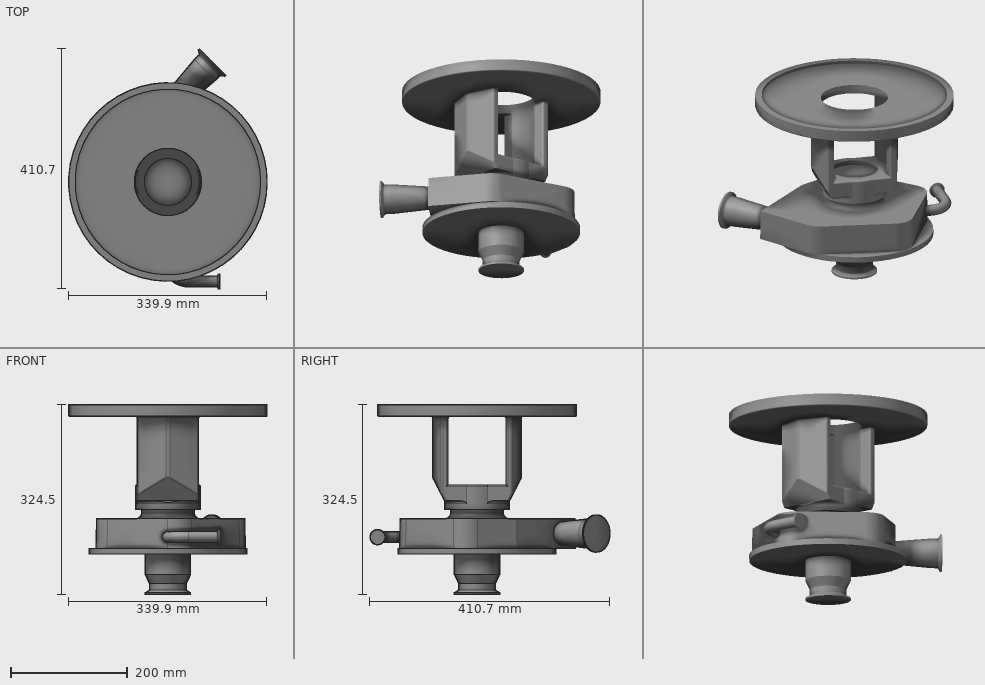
import cadquery as cq
import math

MERGE = 2.0
FERRULE_LIP = 1.0

plate_radius = 169.95
plate_top = 324.5
plate_thickness = 20.0
plate_bottom = plate_top - plate_thickness
plate_edge_fillet = 2.0
dish_radius = 158.5
dish_depth = 5.0

yoke_half_width = 52.5
yoke_nose_y = 76.0
yoke_nose_half_width = 3.3
yoke_shoulder_y = 61.0
yoke_taper_z = 199.8
yoke_foot_y = 56.0
yoke_foot_z = 160.5
yoke_edge_fillet = 3.3
yoke_bore_radius = 57.5
window_half_width = 49.5
window_floor = 187.5
window_fillet = 3.3
collar_radius = 55.5
collar_bottom = 145.5
collar_flare = 5.5
plate_joint_fillet = 3.0
shaft_recess_radius = 40.3
shaft_recess_depth = 8.2

housing_bottom = 78.5
housing_top = 129.5
housing_draft = 1.0
housing_corner_radius = 35.0
side_distance = 115.0
outlet_flank_distance = 139.7
side_step = 72
first_side_angle = 27
outlet_angle = 45
outlet_flank_angle = 126
neck_radius = 45.2
neck_flare = 10.0
disc_radius = 135.0
disc_thickness = 10.0
disc_bottom = housing_bottom - disc_thickness

spout_radius = 39.0
spout_taper_top = 34.0
spout_taper_bottom = 18.5
spout_end_radius = 31.5
ferrule_rim = 3.0
ferrule_cone = 4.0
ferrule_neck_fillet = 1.5

outlet_offset = 91.0
outlet_z = 104.0
outlet_length = 199.0
outlet_straight_start = 180.5
outlet_radius = 25.5
outlet_flange_radius = 32.0
outlet_root_radius = 19.7

drain_radius = 9.5
drain_z = 98.0
drain_y = -170.0
drain_bend_radius = 35.0
drain_end_x = 88.8
drain_flange_radius = 13.0
drain_rim = 3.0
drain_cone = 1.2
drain_neck_fillet = 1.0
drain_root_y = -side_distance


def turned(profile):
    """Revolve an outline of (radius, height) points about the Z axis."""
    return cq.Workplane("XZ").polyline(profile).close().revolve(360, (0, 0, 0), (0, 1, 0))


def ferrule(pipe_radius, flange_radius, rim, cone, neck_fillet, length, plane=cq.Plane.XY()):
    """Pipe end with a clamp flange, its outer face in the given plane, the pipe along the normal."""
    profile = [
        (0, length),
        (pipe_radius, length),
        (pipe_radius, rim + cone),
        (flange_radius - FERRULE_LIP, rim),
        (flange_radius, rim),
        (flange_radius, 0),
        (0, 0),
    ]
    solid = turned(profile)
    neck = cq.selectors.NearestToPointSelector((0, 0, rim + cone))
    solid = solid.edges(neck).fillet(neck_fillet)
    return cq.Workplane(solid.val().moved(cq.Location(plane)))


def flare(radius, size, face_z, up):
    """Concave quarter-round ring that blends a round column into a flat face."""
    mid = size * (1 - math.sqrt(0.5))
    return (
        cq.Workplane("XZ")
        .moveTo(0, face_z)
        .lineTo(radius + size, face_z)
        .threePointArc((radius + mid, face_z + up * mid), (radius, face_z + up * size))
        .lineTo(0, face_z + up * size)
        .close()
        .revolve(360, (0, 0, 0), (0, 1, 0))
    )


def disc(radius, bottom, top):
    return cq.Workplane("XY").workplane(offset=bottom).circle(radius).extrude(top - bottom)


def corner(side_a, side_b):
    """Point where two sides, each given as (normal angle, distance from the axis), cross."""
    a, b = math.radians(side_a[0]), math.radians(side_b[0])
    det = math.sin(b - a)
    x = (side_a[1] * math.sin(b) - side_b[1] * math.sin(a)) / det
    y = (side_b[1] * math.cos(a) - side_a[1] * math.cos(b)) / det
    return (x, y)


def make_plate():
    plate = disc(plate_radius, plate_bottom, plate_top).faces("<Z").edges().fillet(plate_edge_fillet)
    return plate.cut(disc(dish_radius, plate_top - dish_depth, plate_top))


def make_yoke():
    quarter = [
        (yoke_nose_half_width, yoke_nose_y),
        (yoke_half_width, yoke_shoulder_y),
    ]
    right_half = quarter + [(x, -y) for x, y in reversed(quarter)]
    plan = right_half + [(-x, -y) for x, y in right_half]
    top = plate_bottom + MERGE
    yoke = cq.Workplane("XY").polyline(plan).close().extrude(top)
    left_side = [(-yoke_foot_y, yoke_foot_z), (-yoke_nose_y, yoke_taper_z), (-yoke_nose_y, top)]
    side = left_side + [(-y, z) for y, z in reversed(left_side)]
    yoke = yoke.intersect(cq.Workplane("YZ").polyline(side).close().extrude(yoke_half_width, both=True))
    yoke = yoke.edges("not (>Z or <Z or (|Z and (>Y or <Y)))").fillet(yoke_edge_fillet)

    collar = disc(collar_radius, collar_bottom, window_floor)
    foot_outline = cq.Workplane("XY").box(2 * yoke_half_width, 2 * yoke_foot_y, 2 * yoke_foot_z)
    foot_blend = flare(collar_radius, collar_flare, yoke_foot_z, -1).intersect(foot_outline)
    yoke = yoke.union(collar).union(foot_blend)
    window = (
        cq.Workplane("XY")
        .workplane(offset=window_floor)
        .rect(4 * yoke_half_width, 2 * window_half_width)
        .extrude(top - window_floor)
    )
    yoke = yoke.cut(window)
    for end in (-1, 1):
        mouth = cq.selectors.BoxSelector(
            (end * (yoke_half_width - MERGE), -window_half_width - MERGE, window_floor - MERGE),
            (end * (collar_radius + MERGE), window_half_width + MERGE, plate_top),
        )
        yoke = yoke.edges(mouth).fillet(window_fillet)
    return yoke


def make_head():
    """Plate and yoke joined, then bored from above down to the yoke floor."""
    head = make_plate().union(make_yoke())
    for end in (-1, 1):
        joint = cq.selectors.BoxSelector(
            (-2 * yoke_half_width, end * MERGE, plate_bottom - 0.5),
            (2 * yoke_half_width, end * (yoke_nose_y + MERGE), plate_bottom + 0.5),
        )
        head = head.edges(joint).fillet(plate_joint_fillet)
    bore = disc(yoke_bore_radius, window_floor, plate_top)
    recess = disc(shaft_recess_radius, window_floor - shaft_recess_depth, window_floor)
    return head.cut(bore).cut(recess)


def make_housing():
    pentagon = [(first_side_angle + side_step * i, side_distance) for i in range(5)]
    right, top, left, front_left, front_right = pentagon
    outlet_side = (outlet_angle, side_distance)
    flank = (outlet_flank_angle, outlet_flank_distance)
    sides = [right, outlet_side, flank, left, front_left, front_right]
    points = [corner(sides[i - 1], sides[i]) for i in range(len(sides))]
    height = housing_top - housing_bottom
    housing = (
        cq.Workplane("XY")
        .workplane(offset=housing_bottom)
        .polyline(points)
        .close()
        .extrude(height, taper=housing_draft)
    )
    for i in (0, 3, 4, 5):
        x, y = points[i]
        near = cq.selectors.NearestToPointSelector((x, y, housing_bottom + height / 2))
        housing = housing.edges(near).fillet(housing_corner_radius)
    return housing.union(disc(disc_radius, disc_bottom, housing_bottom))


def make_neck():
    neck = disc(neck_radius, housing_top - MERGE, collar_bottom + MERGE)
    return neck.union(flare(neck_radius, neck_flare, housing_top, 1))


def make_spout():
    body = turned(
        [
            (0, disc_bottom + MERGE),
            (spout_radius, disc_bottom + MERGE),
            (spout_radius, spout_taper_top),
            (spout_end_radius, spout_taper_bottom),
            (0, spout_taper_bottom),
        ]
    )
    end = ferrule(
        spout_end_radius, spout_radius, ferrule_rim, ferrule_cone, ferrule_neck_fillet, spout_taper_bottom
    )
    return body.union(end)


def make_outlet():
    angle = math.radians(outlet_angle)
    along = cq.Vector(math.cos(angle), math.sin(angle), 0)
    across = cq.Vector(-math.sin(angle), math.cos(angle), 0)
    axis_start = across * outlet_offset + cq.Vector(0, 0, outlet_z)
    root = cq.Plane(axis_start + along * (side_distance - MERGE), across, along)
    end = cq.Plane(axis_start + along * outlet_length, across, along * -1)
    cone = (
        cq.Workplane(root)
        .circle(outlet_root_radius)
        .workplane(offset=outlet_straight_start - side_distance + MERGE)
        .circle(outlet_radius)
        .loft()
    )
    straight = ferrule(
        outlet_radius,
        outlet_flange_radius,
        ferrule_rim,
        ferrule_cone,
        ferrule_neck_fillet,
        outlet_length - outlet_straight_start,
        end,
    )
    return cone.union(straight)


def make_drain():
    bend_end_x = drain_bend_radius
    bend_start_y = drain_y + drain_bend_radius
    bend_mid = drain_bend_radius * (1 - math.sqrt(0.5))
    path = (
        cq.Workplane("XY", origin=(0, 0, drain_z))
        .moveTo(0, drain_root_y)
        .lineTo(0, bend_start_y)
        .threePointArc((bend_mid, drain_y + bend_mid), (bend_end_x, drain_y))
    )
    bent_pipe = cq.Workplane("XZ", origin=(0, drain_root_y, drain_z)).circle(drain_radius).sweep(path)
    end = cq.Plane((drain_end_x, drain_y, drain_z), (0, 1, 0), (-1, 0, 0))
    straight_length = drain_end_x - bend_end_x
    straight = ferrule(
        drain_radius, drain_flange_radius, drain_rim, drain_cone, drain_neck_fillet, straight_length, end
    )
    return bent_pipe.union(straight)


result = (
    make_head()
    .union(make_neck())
    .union(make_housing())
    .union(make_spout())
    .union(make_outlet())
    .union(make_drain())
)